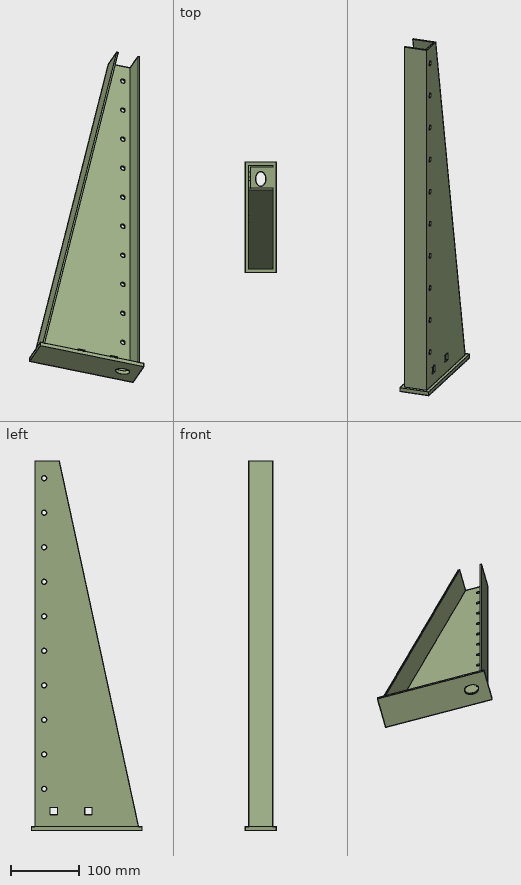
import cadquery as cq

total_height = 536.0
base_width = 45.0
base_depth = 160.0
base_thickness = 6.0

base_margin = 5.0
wall = 2.5
top_depth = 35.5
channel_width = base_width - 2 * base_margin
channel_left = -channel_width / 2
channel_back = base_depth / 2 - base_margin
channel_front = -channel_back

hole_count = 10
top_hole_height = 511.0
bottom_hole_height = 60.5
hole_pitch = (top_hole_height - bottom_hole_height) / (hole_count - 1)
hole_diameter = 7.0
hole_inset = 13.5

square_side = 10.0
square_inset = 27.5
square_pitch = hole_pitch
square_height = 28.5

oval_width = 14.5
oval_length = 21.0
oval_inset = 24.5


def make_base():
    return cq.Workplane("XY").box(base_width, base_depth, base_thickness, centered=(True, True, False))


def make_channel():
    """Bend three walls of equal thickness around a trapezoid that narrows upwards."""
    outline = [
        (channel_back, base_thickness),
        (channel_back, total_height),
        (channel_back - top_depth, total_height),
        (channel_front, base_thickness),
    ]
    side_plane = cq.Workplane("YZ", origin=(channel_left, 0, 0))
    outer = side_plane.polyline(outline).close().extrude(channel_width)

    rise = total_height - base_thickness
    run = channel_back - top_depth - channel_front
    front_wall_depth = wall * (rise**2 + run**2) ** 0.5 / rise
    cavity_outline = [
        (channel_back - wall, base_thickness),
        (channel_back - wall, total_height),
        (channel_back - top_depth + front_wall_depth, total_height),
        (channel_front + front_wall_depth, base_thickness),
    ]
    cavity = side_plane.workplane(offset=wall).polyline(cavity_outline).close().extrude(channel_width)
    return outer.cut(cavity)


def make_web_holes():
    round_centres = [
        (channel_back - hole_inset, top_hole_height - i * hole_pitch)
        for i in range(hole_count)
    ]
    square_centres = [
        (channel_back - square_inset - i * square_pitch, square_height)
        for i in range(2)
    ]
    web_plane = cq.Workplane("YZ", origin=(channel_left, 0, 0))
    round_holes = web_plane.pushPoints(round_centres).circle(hole_diameter / 2).extrude(wall)
    square_holes = web_plane.pushPoints(square_centres).rect(square_side, square_side).extrude(wall)
    return round_holes.union(square_holes)


def make_base_hole():
    return (
        cq.Workplane("XY")
        .center(0, base_depth / 2 - oval_inset)
        .ellipse(oval_width / 2, oval_length / 2)
        .extrude(base_thickness)
    )


result = make_base().union(make_channel()).cut(make_web_holes()).cut(make_base_hole())